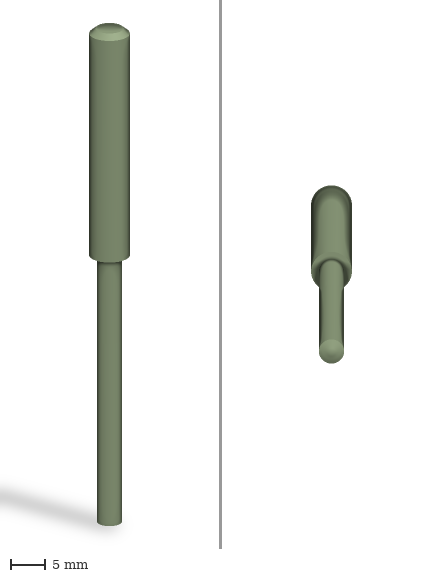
import cadquery as cq
import math

overall_length = 79.0
shank_length = 36.0
shank_diameter = 6.0
shank_radius = shank_diameter / 2
chamfer_width = 0.95
chamfer_height = 0.8

drill_diameter = 3.7
drill_radius = drill_diameter / 2
point_angle = 140.0
cutting_length = 29.6

point_height = drill_radius / math.tan(math.radians(point_angle / 2))
shoulder_z = overall_length - shank_length


def make_cutting_body():
    """Cylindrical cutting part with a conical point at its lower end."""
    half_section = (
        cq.Workplane("XZ")
        .moveTo(0, 0)
        .lineTo(drill_radius, point_height)
        .lineTo(drill_radius, cutting_length)
        .lineTo(0, cutting_length)
        .close()
    )
    return half_section.revolve(360, (0, 0, 0), (0, 1, 0))


def make_shank_body():
    """Neck that widens at a square shoulder to a shank with a bevelled end."""
    half_section = (
        cq.Workplane("XZ")
        .moveTo(0, cutting_length)
        .lineTo(drill_radius, cutting_length)
        .lineTo(drill_radius, shoulder_z)
        .lineTo(shank_radius, shoulder_z)
        .lineTo(shank_radius, overall_length - chamfer_height)
        .lineTo(shank_radius - chamfer_width, overall_length)
        .lineTo(0, overall_length)
        .close()
    )
    return half_section.revolve(360, (0, 0, 0), (0, 1, 0))


cutting_body = make_cutting_body()
shank_body = make_shank_body()

result = cq.Compound.makeCompound([cutting_body.val(), shank_body.val()])